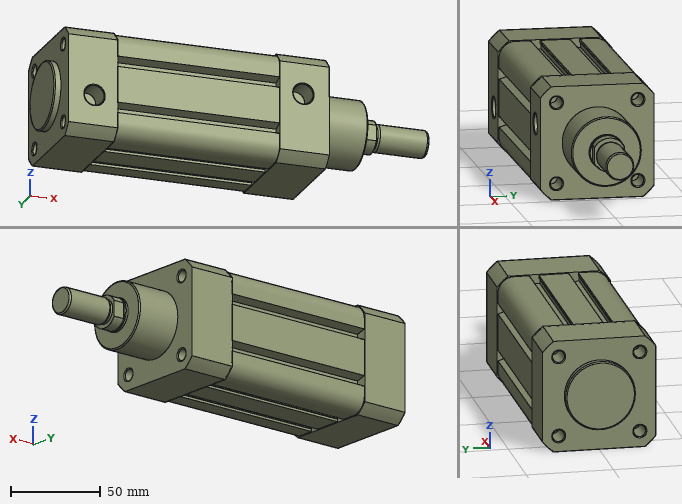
import cadquery as cq


cap_length = 29.5
barrel_length = 97.0
spigot_length = 4.0
collar_length = 28.0
barrel_start = cap_length
barrel_end = barrel_start + barrel_length
front_face = barrel_end + cap_length
collar_end = front_face + collar_length

cap_size = 65.0
cap_corner_diameter = 83.6
guide_diameter = 40.0
guide_chamfer = 0.7
bolt_spacing = 46.5
bolt_hole_diameter = 6.8
bolt_hole_depth = 16.0
bolt_hole_chamfer = 0.6
port_diameter = 11.8
port_depth = 14.0
port_mouth_diameter = 12.8
port_chamfer_depth = 0.5
port_inset = 15.5
port_offset = 8.4

barrel_size = 64.0
barrel_corner_radius = 9.0
side_groove_offset = 13.8
side_groove_width = 6.2
side_groove_floor = 2.7
side_groove_depth = 5.8
t_slot_offset = 11.3
t_slot_opening = 5.5
t_slot_inner_width = 6.5
t_slot_lip = 1.7
t_slot_depth = 4.9

rod_diameter = 20.0
rod_exposed_length = 1.3
wrench_diameter = 19.4
wrench_taper_length = 0.7
across_flats = 17.0
shoulder_distance = 9.0
neck_diameter = 14.6
neck_length = 1.5
thread_diameter = 16.0
thread_chamfer = 1.2
thread_length = 32.0
taper_start = collar_end + rod_exposed_length
flat_start = taper_start + wrench_taper_length
shoulder = collar_end + shoulder_distance
rod_end = shoulder + thread_length


def cross_section(x):
    """Workplane across the axis at x: local x is Y, local y is Z."""
    return cq.Workplane("YZ", origin=(x, 0, 0))


def port(x, z):
    """Air port entering from the -Y side, with a chamfered mouth."""
    mouth_radius = port_mouth_diameter / 2
    outline = [
        (0, 0),
        (mouth_radius, 0),
        (port_diameter / 2, port_chamfer_depth),
        (port_diameter / 2, port_depth),
        (0, port_depth),
    ]
    cutter = cq.Workplane("XY").polyline(outline).close().revolve(360, (0, 0, 0), (0, 1, 0))
    return cutter.translate((x, -cap_size / 2, z))


def cap_block(start):
    """Square block whose corners are turned to a large diameter."""
    square = cross_section(start).rect(cap_size, cap_size).extrude(cap_length)
    turned = cross_section(start).circle(cap_corner_diameter / 2).extrude(cap_length)
    return square.intersect(turned)


def bolt_holes(face_x, inward):
    """Four blind holes with chamfered mouths; inward is the drilling direction along X."""
    hole_radius = bolt_hole_diameter / 2
    outline = [
        (0, 0),
        (0, hole_radius + bolt_hole_chamfer),
        (inward * bolt_hole_chamfer, hole_radius),
        (inward * bolt_hole_depth, hole_radius),
        (inward * bolt_hole_depth, 0),
    ]
    cutter = cq.Workplane("XY").polyline(outline).close().revolve(360, (0, 0, 0), (1, 0, 0))
    half = bolt_spacing / 2
    corners = [(y, z) for y in (-half, half) for z in (-half, half)]
    holes = cq.Workplane("XY")
    for y, z in corners:
        holes = holes.add(cutter.translate((face_x, y, z)))
    return holes.combine()


def make_rear_cap():
    spigot = cross_section(-spigot_length).circle(guide_diameter / 2).extrude(spigot_length)
    spigot = spigot.faces("<X").chamfer(guide_chamfer)
    cap = cap_block(0).union(spigot)
    cap = cap.cut(bolt_holes(0, 1))
    return cap.cut(port(port_inset, -port_offset))


def make_front_cap():
    collar = cross_section(front_face).circle(guide_diameter / 2).extrude(collar_length)
    collar = collar.faces(">X").chamfer(guide_chamfer)
    cap = cap_block(barrel_end).union(collar)
    cap = cap.cut(bolt_holes(front_face, -1))
    return cap.cut(port(front_face - port_inset, port_offset))


def side_groove():
    """Trapezoidal groove cutter, drawn on the +Z side and centred on Y = 0."""
    top = barrel_size / 2
    floor = top - side_groove_depth
    outline = [
        (-side_groove_width / 2, top),
        (-side_groove_floor / 2, floor),
        (side_groove_floor / 2, floor),
        (side_groove_width / 2, top),
    ]
    return cross_section(barrel_start).polyline(outline).close().extrude(barrel_length)


def t_slot():
    """Undercut slot cutter, drawn on the +Z side and centred on Y = 0."""
    top = barrel_size / 2
    inner_height = t_slot_depth - t_slot_lip
    inner_middle = top - t_slot_lip - inner_height / 2
    opening = (
        cross_section(barrel_start)
        .center(0, top - t_slot_depth / 2)
        .rect(t_slot_opening, t_slot_depth)
        .extrude(barrel_length)
    )
    inner = (
        cross_section(barrel_start)
        .center(0, inner_middle)
        .rect(t_slot_inner_width, inner_height)
        .extrude(barrel_length)
    )
    return opening.union(inner)


def make_barrel():
    barrel = cross_section(barrel_start).rect(barrel_size, barrel_size).extrude(barrel_length)
    barrel = barrel.edges("|X").fillet(barrel_corner_radius)
    slots = [(t_slot(), t_slot_offset, 0), (side_groove(), side_groove_offset, 90)]
    for cutter, offset, side_angle in slots:
        for side in (-1, 1):
            placed = cutter.translate((0, side * offset, 0))
            for angle in (side_angle, side_angle + 180):
                barrel = barrel.cut(placed.rotate((0, 0, 0), (1, 0, 0), angle))
    return barrel


def make_rod():
    """Stepped rod that starts on the collar face and ends in a chamfered stud."""
    rod_radius = rod_diameter / 2
    wrench_radius = wrench_diameter / 2
    thread_radius = thread_diameter / 2
    neck_radius = neck_diameter / 2
    neck_end = shoulder + neck_length
    outline = [
        (collar_end, 0),
        (collar_end, rod_radius),
        (taper_start, rod_radius),
        (flat_start, wrench_radius),
        (shoulder, wrench_radius),
        (shoulder, neck_radius),
        (neck_end, neck_radius),
        (neck_end + thread_chamfer, thread_radius),
        (rod_end - thread_chamfer, thread_radius),
        (rod_end, neck_radius),
        (rod_end, 0),
    ]
    rod = cq.Workplane("XY").polyline(outline).close().revolve(360, (0, 0, 0), (1, 0, 0))
    flat_length = shoulder - flat_start
    for side in (-1, 1):
        flat = (
            cross_section(flat_start)
            .center(side * (across_flats + rod_diameter) / 2, 0)
            .rect(rod_diameter, rod_diameter)
            .extrude(flat_length)
        )
        rod = rod.cut(flat)
    return rod


rear_cap = make_rear_cap()
barrel = make_barrel()
front_cap = make_front_cap()
rod = make_rod()

result = cq.Compound.makeCompound([rear_cap.val(), barrel.val(), front_cap.val(), rod.val()])